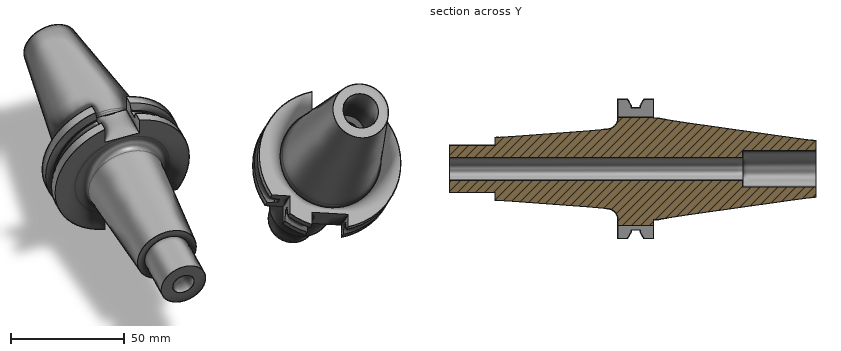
import cadquery as cq
import math

total_length = 161.7
gauge_x = 68.2
collar_start_x = 69.7
flange_start_x = 71.6
flange_end_x = 87.5
nose_end_x = 141.6

shank_small_radius = 12.5
gauge_radius = 22.2
collar_radius = 22.5

flange_radius = 63.5 / 2
groove_floor_radius = 28.1
groove_center_x = 79.5
groove_floor_width = 3.9
groove_mouth_width = 7.1
groove_flank_angle = 30.0

nose_root_radius = 18.0
nose_end_radius = 13.9
nose_fillet = 4.7
pilot_radius = 10.5

through_bore_radius = 5.0
shank_bore_radius = 8.0
shank_bore_depth = 32.3

slot_width = 16.2
top_slot_floor = 22.8
bottom_slot_floor = 25.0
notch_inner_y = 18.1
notch_inner_z = 18.1


def make_body():
    """Revolve the stepped outline, with the flange still plain."""
    return (
        cq.Workplane("XY")
        .lineTo(0, shank_small_radius)
        .lineTo(gauge_x, gauge_radius)
        .lineTo(collar_start_x, collar_radius)
        .lineTo(flange_start_x, collar_radius)
        .lineTo(flange_start_x, flange_radius)
        .lineTo(flange_end_x, flange_radius)
        .lineTo(flange_end_x, nose_root_radius)
        .lineTo(nose_end_x, nose_end_radius)
        .lineTo(nose_end_x, pilot_radius)
        .lineTo(total_length, pilot_radius)
        .lineTo(total_length, 0)
        .close()
        .revolve(360, (0, 0, 0), (1, 0, 0))
    )


def fillet_nose_root(body):
    """Blend the nose cone into the rear face of the flange."""
    rear_face_slab = cq.selectors.BoxSelector(
        (flange_end_x - nose_fillet, -flange_radius, -flange_radius),
        (flange_end_x + nose_fillet, flange_radius, flange_radius),
    )
    smallest_circle = cq.selectors.RadiusNthSelector(0)
    return body.edges(rear_face_slab).edges(smallest_circle).fillet(nose_fillet)


def make_groove():
    """Ring that cuts the gripper groove around the flange."""
    half_floor = groove_floor_width / 2
    half_mouth = groove_mouth_width / 2
    flank_height = (half_mouth - half_floor) / math.tan(math.radians(groove_flank_angle))
    flank_root_radius = flange_radius - flank_height
    return (
        cq.Workplane("XY")
        .moveTo(groove_center_x - half_floor, groove_floor_radius)
        .lineTo(groove_center_x + half_floor, groove_floor_radius)
        .lineTo(groove_center_x + half_floor, flank_root_radius)
        .lineTo(groove_center_x + half_mouth, flange_radius)
        .lineTo(groove_center_x - half_mouth, flange_radius)
        .lineTo(groove_center_x - half_floor, flank_root_radius)
        .close()
        .revolve(360, (0, 0, 0), (1, 0, 0))
    )


def flange_cutter(y_min, y_max, z_min, z_max):
    """Block that cuts through the full width of the flange."""
    flange_width = flange_end_x - flange_start_x
    block = cq.Workplane("XY").box(flange_width, y_max - y_min, z_max - z_min, centered=False)
    return block.translate((flange_start_x, y_min, z_min))


def bore(radius, depth):
    """Cylinder on the axis, entering from the small end of the taper."""
    return cq.Workplane("YZ").circle(radius).extrude(depth)


half_slot = slot_width / 2
top_slot = flange_cutter(-half_slot, half_slot, top_slot_floor, flange_radius)
bottom_slot = flange_cutter(-half_slot, half_slot, -flange_radius, -bottom_slot_floor)
notch = flange_cutter(notch_inner_y, flange_radius, -flange_radius, -notch_inner_z)

result = (
    fillet_nose_root(make_body())
    .cut(make_groove())
    .cut(top_slot)
    .cut(bottom_slot)
    .cut(notch)
    .cut(bore(through_bore_radius, total_length))
    .cut(bore(shank_bore_radius, shank_bore_depth))
)